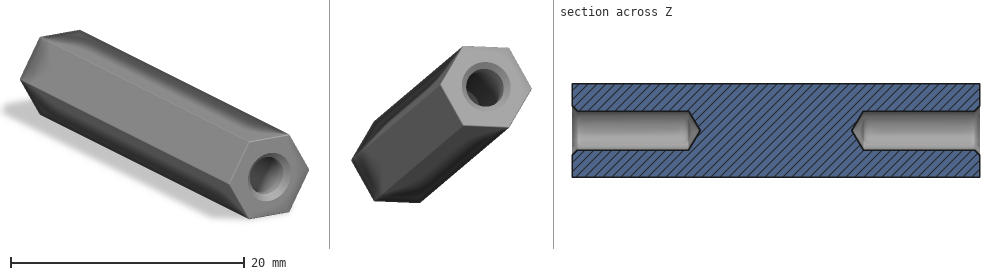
import cadquery as cq
import math

length = 35.0
side_count = 6
across_flats = 7.0
edge_radius = 0.1

hole_diameter = 3.3
hole_depth = 10.0
drill_point_angle = 118.0
countersink_diameter = 4.3
countersink_angle = 90.0

across_corners = across_flats / math.cos(math.pi / side_count)
half_length = length / 2


def cone_height(radius_change, included_angle):
    """Axial length over which a cone changes by the given radius."""
    return radius_change / math.tan(math.radians(included_angle / 2))


def make_body():
    """Hexagonal bar with two corners on the Y axis and every edge rounded."""
    bar = cq.Workplane("YZ").polygon(side_count, across_corners).extrude(half_length, both=True)
    return bar.edges().fillet(edge_radius)


def make_end_hole():
    """Countersunk blind hole with a drill point, entering from the -X end."""
    hole_radius = hole_diameter / 2
    countersink_radius = countersink_diameter / 2
    countersink_depth = cone_height(countersink_radius - hole_radius, countersink_angle)
    point_length = cone_height(hole_radius, drill_point_angle)
    entry = -half_length
    profile = [
        (entry, 0),
        (entry, countersink_radius),
        (entry + countersink_depth, hole_radius),
        (entry + hole_depth, hole_radius),
        (entry + hole_depth + point_length, 0),
    ]
    return cq.Workplane("XY").polyline(profile).close().revolve(360, (0, 0, 0), (1, 0, 0))


end_hole = make_end_hole()
result = make_body().cut(end_hole).cut(end_hole.mirror("YZ"))